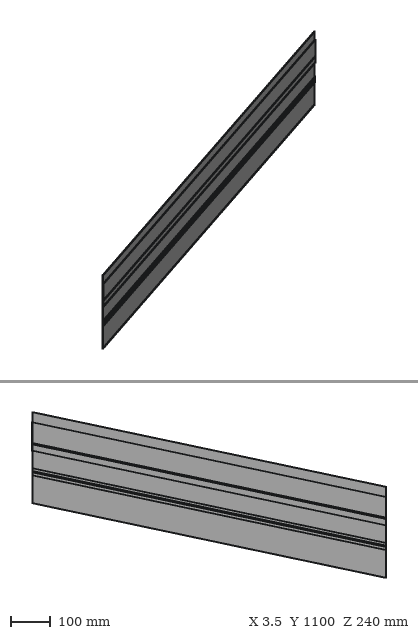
import cadquery as cq

thickness = 3.5
length = 1100.0
height = 240.0
front_x = -thickness / 2

board_thickness = 1.8
gap_width = 3.0
gap_spacing = 74.0

hinge_top_level = 2.0
hinge_width = 19.0

backing_width = 75.0
backing_center_z = 56.0


def full_length_strip(near_level, far_level, width, center_z):
    """Strip along Y between two levels measured from the -X face."""
    depth = far_level - near_level
    center_x = front_x + (near_level + far_level) / 2
    return cq.Workplane("XY").box(depth, length, width).translate((center_x, 0, center_z))


result = full_length_strip(0, board_thickness, height, 0)
result = result.union(full_length_strip(0, thickness, backing_width, backing_center_z))

for side in (-1, 1):
    gap_z = side * gap_spacing / 2
    hinge = full_length_strip(0, hinge_top_level, hinge_width, gap_z)
    gap = full_length_strip(0, board_thickness, gap_width, gap_z)
    result = result.union(hinge).cut(gap)